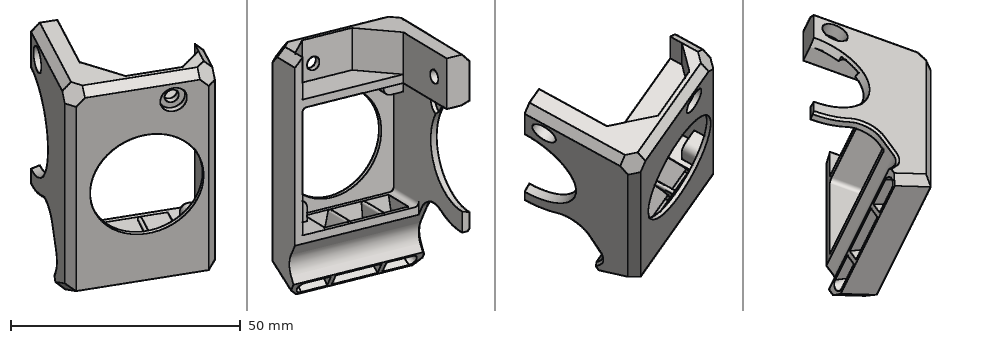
import cadquery as cq
import math

length_x = 28.5
depth_y = 34.0
height_z = 56.85

edge_chamfer = 2.0
front_wall = 2.0
head_wall = 5.95
body_face_x = 17.4

opening_z = 32.35
opening_radius_front = 13.2
opening_radius_back = 12.55
ring_radius = 17.55
pocket_radius = 3.0
pocket_floor_y = 0.9
pocket_offset = 9.55

slope = math.radians(30)
underside_run = 8.55
lip_size = 4.0
groove_radius = 4.9
hump_radius = 5.5
hump_x = 11.4
groove_chamfer = 0.55

cavity_y0 = front_wall
cavity_y1 = depth_y - edge_chamfer
cavity_z0 = 14.85
cavity_z1 = 44.85
cavity_floor_x = 27.45
cavity_corner_radius = 1.0
post_size = 5.1
post_radius = 1.9
post_face_x = 23.55
fan_hole_diameter = 25.7
fan_hole_y = 18.0
fan_hole_z = (cavity_z0 + cavity_z1) / 2

recess_z = 46.9
recess_back_x = 25.5
recess_y0 = head_wall
recess_y1 = cavity_y1
recess_short_leg = 5.05

screw_diameter = 3.2
counterbore_diameter = 6.0
screw_z = 50.8
front_screw_x = 5.0
front_counterbore_depth = 3.0
back_screw_y = 24.05
back_counterbore_depth = 1.5

duct_inlet_x0 = 18.5
duct_inlet_x1 = 26.45
duct_inlet_y0 = 4.0
duct_inlet_y1 = 25.6
duct_height = 3.0
duct_side_margin = 1.55
duct_run = 5.7
bend_taper = 0.17
fin_inlet_y = (10.5, 19.05)
fin_inlet_width = 1.0
fin_top_radius = 0.45
fin_outlet_y = (10.45, 23.55)
fin_outlet_width = 1.25

overlap = 0.55

lip_bottom_x = length_x - underside_run
slope_end_z = underside_run * math.tan(slope)
lip_top = (lip_bottom_x - lip_size * math.sin(slope), lip_size * math.cos(slope))


def box(x0, x1, y0, y1, z0, z1):
    """Box given by its limits along X, Y and Z."""
    return cq.Workplane("XY").box(x1 - x0, y1 - y0, z1 - z0, centered=False).translate((x0, y0, z0))


def make_blank():
    """Side profile with ring, hump, flank, groove, lip and sloped underside, over the full depth."""
    sin_s, cos_s = math.sin(slope), math.cos(slope)

    hump_z = opening_z - math.sqrt((ring_radius + hump_radius) ** 2 - hump_x**2)
    ring_share = ring_radius / (ring_radius + hump_radius)
    ring_end = (hump_x * ring_share, opening_z + (hump_z - opening_z) * ring_share)
    half_angle = math.asin(ring_end[0] / ring_radius) / 2
    ring_mid = (ring_radius * math.sin(half_angle), opening_z - ring_radius * math.cos(half_angle))
    hump_top = (hump_x, hump_z + hump_radius)
    flank_top = (hump_x + hump_radius * cos_s, hump_z + hump_radius * sin_s)

    rise = (flank_top[1] - lip_top[1] - (lip_top[0] - flank_top[0]) / math.tan(slope)) / 2
    corner = (lip_top[0] + rise * math.tan(slope), lip_top[1] + rise)
    tangent = groove_radius * math.tan(slope)
    groove_top = (corner[0] - tangent * sin_s, corner[1] + tangent * cos_s)
    groove_bottom = (groove_top[0], corner[1] - tangent * cos_s)
    groove_mid = (corner[0] - groove_radius * (1 / cos_s - 1), corner[1])

    return (
        cq.Workplane("XZ")
        .moveTo(0, height_z)
        .lineTo(length_x, height_z)
        .lineTo(length_x, slope_end_z)
        .lineTo(lip_bottom_x, 0)
        .lineTo(*lip_top)
        .lineTo(*groove_bottom)
        .threePointArc(groove_mid, groove_top)
        .lineTo(*flank_top)
        .threePointArc(hump_top, ring_end)
        .threePointArc(ring_mid, (0, opening_z - ring_radius))
        .close()
        .extrude(-depth_y)
    )


def is_groove_edge(edge):
    """True for the front edges from the ring to the lip."""
    middle = edge.Center()
    return middle.x > edge_chamfer and lip_top[1] < middle.z < opening_z - ring_radius + hump_radius


def add_chamfers(blank):
    """Bevel the groove edge, the front and back outline, the top edge and the two outer top corners."""
    grooved = blank.newObject([e for e in blank.faces("<Y").edges().vals() if is_groove_edge(e)])
    solid = grooved.chamfer(groove_chamfer)

    outer_edges = solid.edges("|Y").edges(">X and >Z").vals()
    for end in ("<Y", ">Y"):
        outline = solid.faces(end)
        outer_edges += outline.edges(">X or >Z").vals()
        underside_middle = ((lip_bottom_x + length_x) / 2, outline.val().Center().y, slope_end_z / 2)
        outer_edges += outline.edges(cq.NearestToPointSelector(underside_middle)).vals()
    solid = solid.newObject(outer_edges).chamfer(edge_chamfer)

    cutter_size = 10 * edge_chamfer

    for y, outward in ((0, -1), (depth_y, 1)):
        origin = (length_x - edge_chamfer, y - outward * edge_chamfer, height_z - edge_chamfer)
        corner = cq.Workplane(cq.Plane(origin, normal=(1, outward, 1)))
        solid = solid.cut(corner.rect(cutter_size, cutter_size).extrude(cutter_size))
    return solid


def cut_front_opening(body):
    """Tapered half round opening with a shallow round pocket behind its upper edge."""
    taper = (opening_radius_front - opening_radius_back) / front_wall
    cone_depth = head_wall + overlap
    cone = cq.Solid.makeCone(
        opening_radius_front,
        opening_radius_front - taper * cone_depth,
        cone_depth,
        cq.Vector(0, 0, opening_z),
        cq.Vector(0, 1, 0),
    )
    pocket = cq.Solid.makeCylinder(
        pocket_radius,
        front_wall - pocket_floor_y,
        cq.Vector(pocket_offset, pocket_floor_y, opening_z + pocket_offset),
        cq.Vector(0, 1, 0),
    )
    return body.cut(cq.Workplane(cone)).cut(cq.Workplane(pocket))


def cut_open_side(body):
    """Remove the block behind the front wall so only the thicker head stays at the top."""
    below = box(-overlap, body_face_x, front_wall, depth_y + overlap, -overlap, cavity_z1)
    above = box(-overlap, body_face_x, head_wall, depth_y + overlap, cavity_z1, height_z + overlap)
    return body.cut(below).cut(above)


def cut_fan_cavity(body):
    """Square fan pocket with two screw posts and a round hole through its floor."""
    cavity = box(body_face_x - overlap, cavity_floor_x, cavity_y0, cavity_y1, cavity_z0, cavity_z1)
    cavity = cavity.edges("|X").edges(">Z or <Y").fillet(cavity_corner_radius)
    upper_post = box(
        post_face_x, cavity_floor_x, cavity_y0, cavity_y0 + post_size, cavity_z1 - post_size, cavity_z1
    )
    lower_post = box(
        post_face_x, cavity_floor_x, cavity_y1 - post_size, cavity_y1, cavity_z0, cavity_z0 + post_size
    )
    cavity = cavity.cut(upper_post.edges("|X").edges(">Y and <Z").fillet(post_radius))
    cavity = cavity.cut(lower_post.edges("|X").edges("<Y and >Z").fillet(post_radius))
    fan_hole = (
        cq.Workplane("YZ", origin=(cavity_floor_x - overlap, fan_hole_y, fan_hole_z))
        .circle(fan_hole_diameter / 2)
        .extrude(length_x)
    )
    return body.cut(cavity).cut(fan_hole)


def cut_top_recess(body):
    """Recess open to the top and to -X, with both back corners cut at 45 degrees."""
    long_leg = recess_back_x - body_face_x
    recess = (
        cq.Workplane("XY", origin=(0, 0, recess_z))
        .moveTo(body_face_x, recess_y0)
        .lineTo(recess_back_x, recess_y0 + long_leg)
        .lineTo(recess_back_x, recess_y1 - recess_short_leg)
        .lineTo(recess_back_x - recess_short_leg, recess_y1)
        .lineTo(body_face_x, recess_y1)
        .close()
        .extrude(height_z)
    )
    return body.cut(recess)


def cut_screw_holes(body):
    """One counterbored hole through the head and one through the wall behind the recess."""
    front = cq.Workplane("XZ", origin=(front_screw_x, 0, screw_z))
    body = body.cut(front.circle(screw_diameter / 2).extrude(-head_wall - overlap))
    body = body.cut(front.circle(counterbore_diameter / 2).extrude(-front_counterbore_depth))
    back = cq.Workplane("YZ", origin=(length_x, back_screw_y, screw_z))
    body = body.cut(back.circle(screw_diameter / 2).extrude(-(length_x - recess_back_x) - overlap))
    return body.cut(back.circle(counterbore_diameter / 2).extrude(-back_counterbore_depth))


def channel_section(distance, y0, y1, rounded_side=0):
    """Closed outline across the sloped channel, at a distance up the slope from the lip.

    rounded_side -1 or 1 adds a half circle at the -Y or +Y end, 0 leaves both ends square.
    """
    x = (lip_bottom_x + lip_top[0]) / 2 + distance * math.cos(slope)
    z = lip_top[1] / 2 + distance * math.sin(slope)
    half = duct_height / 2
    across = cq.Plane((x, 0, z), xDir=(0, 1, 0), normal=(math.cos(slope), 0, math.sin(slope)))
    outline = cq.Workplane(across).moveTo(y0, -half).lineTo(y1, -half)
    if rounded_side > 0:
        outline = outline.threePointArc((y1 + half, 0), (y1, half))
    else:
        outline = outline.lineTo(y1, half)
    outline = outline.lineTo(y0, half)
    if rounded_side < 0:
        outline = outline.threePointArc((y0 - half, 0), (y0, -half))
    return outline.close().val() if rounded_side >= 0 else outline.wire().val()


def inlet_section(y0, y1):
    """Rectangle in the cavity floor where an air passage starts."""
    corners = ((duct_inlet_x1, y0), (duct_inlet_x1, y1), (duct_inlet_x0, y1), (duct_inlet_x0, y0))
    return cq.Wire.makePolygon([cq.Vector(x, y, cavity_z0) for x, y in corners], close=True)


def passage_limits(start, end, fins, fin_width):
    """Y limits of the three passages left between start and end by two fins."""
    lows = [start] + [fin + fin_width / 2 for fin in fins]
    highs = [fin - fin_width / 2 for fin in fins] + [end]
    return list(zip(lows, highs))


def cut_duct(body):
    """Three air passages, down from the cavity and along the slope to the lip, with round topped fins."""
    end_margin = duct_side_margin + duct_height / 2
    inlets = passage_limits(duct_inlet_y0, duct_inlet_y1, fin_inlet_y, fin_inlet_width)
    outlets = passage_limits(end_margin, depth_y - end_margin, fin_outlet_y, fin_outlet_width)

    for inlet, outlet, rounded_side in zip(inlets, outlets, (-1, 0, 1)):
        bend = [o + bend_taper * (i - o) for i, o in zip(inlet, outlet)]
        bend_wire = channel_section(duct_run, *bend)
        channel = cq.Solid.makeLoft([channel_section(0, *outlet, rounded_side), bend_wire], True)
        shaft = cq.Solid.makeLoft([bend_wire, inlet_section(*inlet)], True)
        body = body.cut(cq.Workplane(channel)).cut(cq.Workplane(shaft))

    duct_middle_x = (duct_inlet_x0 + duct_inlet_x1) / 2
    for fin in fin_inlet_y:
        for side in (-1, 1):
            rim = (duct_middle_x, fin + side * fin_inlet_width / 2, cavity_z0)
            body = body.edges(cq.NearestToPointSelector(rim)).fillet(fin_top_radius)
    return body


body = add_chamfers(make_blank())
body = cut_front_opening(body)
body = cut_open_side(body)
body = cut_fan_cavity(body)
body = cut_top_recess(body)
body = cut_screw_holes(body)
result = cut_duct(body)